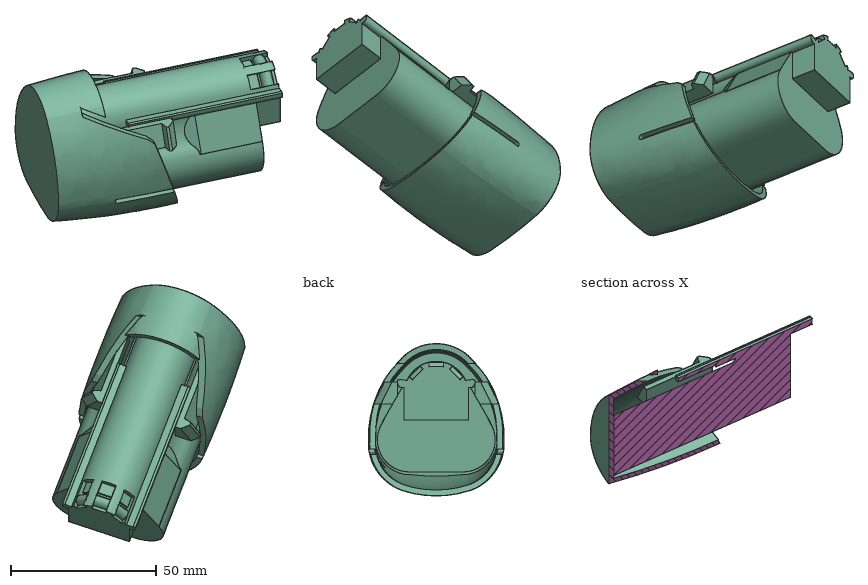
import cadquery as cq
import math


LENGTH = 84.7
CELLS_END = 75.65
WALL = 2.0

TUBE_R = 10.9
TUBE_Z = 35.4

CELL_R = 11.0
CELL_X = 9.2
CELL_Z = 19.3
NECK_ANGLE = 50.0
NECK_MID = (13.5, 31.35)
NECK_TOP_X = 11.35
DECK_Z = 37.3

SHOULDER_TOP = (11.8, DECK_Z)
SHOULDER_FOOT = (18.7, 25.2)
SHOULDER_START = 53.4
SHOULDER_RAMP = 7.3
SHOULDER_SINK = 2.5

NOSE_HALF = 11.1
NOSE_BOTTOM = 26.1

RAIL_X = 13.3
RAIL_SIDE_TOP = 39.9
RAIL_SIDE_BOTTOM = 38.8
RAIL_CREST_X = 12.45
RAIL_CREST_Z = 40.1
RAIL_ROOT_X = 9.3
RAIL_ROOT_Z = 39.65
RAIL_START = 28.9
RAIL_DEEP_START = 44.7
LIP_BOTTOM = 38.1

CONTACT_ANGLES = (-45.0, 0.0, 45.0)
WINDOW_WIDTH = 5.1
WINDOW_LENGTH = 10.2
WINDOW_FLOOR_R = 9.1
SLOT_START = 78.5
SLOT_END = 83.6
BAR_R = 2.1
BAR_Y = 81.5
BAR_AXIS_R = 8.4

LATCH_INNER_X = RAIL_X
LATCH_TOP = 39.2
LATCH_BOTTOM = 31.6
LATCH_FLARE = 3.8
LATCH_START = 16.9
ARM_X = 15.25
HEAD_X = 17.8
HEAD_BACK = 40.15
HEAD_STEP = 40.9
HEAD_CHAMFER = 41.9
HEAD_FRONT = 44.3

CAP_MID = 20.3
CAP_REAR = 48.3
CAP_TOP = 52.4
HIP_Z = 19.15
HOOD_EDGE_Z = 45.6
HOOD_CUT_END = 12.5
HOOD_CUT_TOP = 48.8
HOOD_CUT_BOTTOM = 46.6
MOUTH_SHOULDER = ((33.8, 36.8), (36.1, 34.8))
SLIT_END = 20.5
SLIT_STRAIGHT_END = 21.4
SLIT_END_Z = (15.1, 16.0, 16.9)
SLIT_REAR_Z = (14.1, 15.8)
MOUTH_REAR = 46.85
REACH = 33.9
CLEAR = 8.5


def slab(profile, y_start, y_end):
    """Solid between two Y stations; profile draws a closed outline in X, Z."""
    plane = cq.Workplane("XZ", origin=(0, y_end, 0))
    return profile(plane).extrude(y_end - y_start)


def box(x_start, x_end, y_start, y_end, z_start, z_end):
    return cq.Workplane("XY").box(
        x_end - x_start, y_end - y_start, z_end - z_start, centered=False
    ).translate((x_start, y_start, z_start))


def left(point):
    """Mirror an X, Z point to the -X side."""
    return (-point[0], point[1])


def both_sides(right_half):
    return right_half.union(right_half.mirror("YZ"))



def on_cell(angle):
    """Point on the +X cell's circle, angle in degrees above horizontal."""
    turn = math.radians(angle)
    return (CELL_X + CELL_R * math.cos(turn), CELL_Z + CELL_R * math.sin(turn))


def cells_profile(plane):
    """Two lower cells with the concave neck rising from them."""
    neck_foot = on_cell(NECK_ANGLE)
    outer = on_cell(0)
    bottom = on_cell(-90)
    neck_top = (NECK_TOP_X, DECK_Z)

    return (
        plane.moveTo(*left(bottom))
        .lineTo(*bottom)
        .threePointArc(outer, neck_foot)
        .threePointArc(NECK_MID, neck_top)
        .lineTo(*left(neck_top))
        .threePointArc(left(NECK_MID), left(neck_foot))
        .threePointArc(left(outer), left(bottom))
        .close()
    )


def make_shoulder():
    """Slanted filler beside the neck, with a sloped end."""
    run = SHOULDER_FOOT[0] - SHOULDER_TOP[0]
    drop = SHOULDER_TOP[1] - SHOULDER_FOOT[1]
    slant = math.hypot(run, drop)
    sink_x = SHOULDER_SINK * drop / slant
    sink_z = SHOULDER_SINK * run / slant
    root = (CELL_X - SHOULDER_SINK, SHOULDER_FOOT[1] - SHOULDER_SINK)
    root_top = (root[0], DECK_Z)

    outline = [root, SHOULDER_FOOT, SHOULDER_TOP, root_top]
    sunk = [
        root,
        (SHOULDER_FOOT[0] - sink_x, SHOULDER_FOOT[1] - sink_z),
        (SHOULDER_TOP[0] - sink_x, SHOULDER_TOP[1] - sink_z),
        (root_top[0], DECK_Z - sink_z),
    ]
    straight = slab(lambda plane: plane.polyline(outline).close(), SHOULDER_START, CELLS_END)
    ramp = (
        cq.Workplane("XZ", origin=(0, SHOULDER_START, 0))
        .polyline(outline).close()
        .workplane(offset=SHOULDER_RAMP)
        .polyline(sunk).close()
        .loft(ruled=True)
    )
    return straight.union(ramp)


def rail_bar(bottom, y_start, y_end):
    """Bar whose top falls from a crest towards the tube, rounded on its outer underside."""
    under_r = RAIL_SIDE_BOTTOM - bottom

    def profile(plane):
        return (
            plane.moveTo(0, bottom)
            .lineTo(RAIL_X - under_r, bottom)
            .radiusArc((RAIL_X, RAIL_SIDE_BOTTOM), -under_r)
            .lineTo(RAIL_X, RAIL_SIDE_TOP)
            .lineTo(RAIL_CREST_X, RAIL_CREST_Z)
            .lineTo(RAIL_ROOT_X, RAIL_ROOT_Z)
            .lineTo(0, RAIL_ROOT_Z)
            .close()
        )

    return slab(profile, y_start, y_end)


def make_rail():
    """Side rail: a thin lip that grows down to the deck near the contacts."""
    lip = rail_bar(LIP_BOTTOM, RAIL_START, RAIL_DEEP_START)
    return lip.union(rail_bar(DECK_Z, RAIL_DEEP_START, LENGTH))


def make_latch():
    """Latch arm with a hooked head, flaring outwards towards its bottom."""
    def outline(flare):
        return [
            (LATCH_INNER_X, LATCH_START),
            (ARM_X + flare, LATCH_START),
            (ARM_X + flare, HEAD_BACK),
            (HEAD_X + flare, HEAD_STEP),
            (HEAD_X + flare, HEAD_CHAMFER),
            (ARM_X + flare, HEAD_FRONT),
            (LATCH_INNER_X, HEAD_FRONT),
        ]

    return (
        cq.Workplane("XY", origin=(0, 0, LATCH_BOTTOM))
        .polyline(outline(LATCH_FLARE)).close()
        .workplane(offset=LATCH_TOP - LATCH_BOTTOM)
        .polyline(outline(0)).close()
        .loft(ruled=True)
    )


def turned(shape, angle):
    """Turn a shape about the tube's axis."""
    return shape.rotate((0, 0, TUBE_Z), (0, 1, TUBE_Z), angle)


def add_contact(body, angle):
    """Open a window in the tube wall and leave a half-round contact bar in it."""
    half = WINDOW_WIDTH / 2
    outside = TUBE_Z + TUBE_R + CLEAR
    window = box(-half, half, LENGTH - WINDOW_LENGTH, LENGTH, TUBE_Z + WINDOW_FLOOR_R, outside)
    slot = box(-half, half, SLOT_START, SLOT_END, TUBE_Z + BAR_AXIS_R, outside)
    bar = (
        cq.Workplane("YZ", origin=(-half, BAR_Y, TUBE_Z + BAR_AXIS_R))
        .circle(BAR_R)
        .extrude(WINDOW_WIDTH)
    )
    return body.cut(turned(window.union(slot), angle)).union(turned(bar, angle))


def make_tube():
    """Round tube, flattened underneath where it stands out past the lower cells."""
    tube = slab(lambda plane: plane.center(0, TUBE_Z).circle(TUBE_R), WALL, LENGTH)
    return tube.cut(box(-TUBE_R, TUBE_R, CELLS_END, LENGTH, 0, NOSE_BOTTOM))


def make_pack():
    pack = slab(cells_profile, WALL, CELLS_END)
    pack = pack.union(box(-NOSE_HALF, NOSE_HALF, CELLS_END, LENGTH, NOSE_BOTTOM, DECK_Z))
    pack = pack.union(both_sides(make_shoulder()))
    pack = pack.union(both_sides(make_rail()))
    pack = pack.union(make_tube())
    for angle in CONTACT_ANGLES:
        pack = add_contact(pack, angle)
    return pack.union(both_sides(make_latch()))



def cap_section(y, top, crown, flank, hip, corner, foot, bottom, inset):
    """Rounded-triangle wire at one Y station; points are given for the +X half."""
    outline = (
        cq.Workplane("XZ", origin=(0, y, 0))
        .moveTo(*left(crown))
        .threePointArc((0, top), crown)
        .threePointArc(flank, hip)
        .threePointArc(corner, foot)
        .threePointArc((0, bottom), left(foot))
        .threePointArc(left(corner), left(hip))
        .threePointArc(left(flank), left(crown))
        .close()
    )
    if inset:
        outline = outline.offset2D(-inset)
    return outline.val()


def cap_form(inset):
    """Smooth skin through the three sections, drawn inwards by inset."""
    face = cap_section(0, 51.1, (10.3, 47.3), (19.0, 36.1), (22.9, HIP_Z),
                       (19.3, 10.25), (11.3, 5.85), 5.25, inset)
    middle = cap_section(CAP_MID, CAP_TOP, (11.0, 48.3), (19.8, 36.1), (23.4, HIP_Z),
                         (19.9, 8.4), (11.6, 3.05), 1.9, inset)
    rear = cap_section(CAP_REAR, CAP_TOP, (11.0, 48.3), (19.3, 36.1), (22.4, HIP_Z),
                       (19.4, 7.9), (11.8, 1.95), 0, inset)
    return cq.Workplane(cq.Solid.makeLoft([face, middle, rear]))


def across(outline):
    """Cutter running through the whole part along X; outline is in Y, Z."""
    return cq.Workplane("YZ", origin=(-REACH, 0, 0)).polyline(outline).close().extrude(2 * REACH)


def make_mouth():
    """Everything behind the hood, the sloped upper edges and the sloped mouth."""
    above = CAP_TOP + CLEAR
    behind = CAP_REAR + CLEAR
    return across([
        (CAP_MID, above),
        (CAP_MID, HOOD_EDGE_Z),
        (HOOD_CUT_END, HOOD_CUT_TOP),
        (HOOD_CUT_END, HOOD_CUT_BOTTOM),
        *MOUTH_SHOULDER,
        (MOUTH_REAR, 0),
        (MOUTH_REAR, -CLEAR),
        (behind, -CLEAR),
        (behind, above),
    ])


def make_slit():
    """Narrow side slit that opens into the mouth."""
    end_bottom, end_middle, end_top = SLIT_END_Z
    rear_bottom, rear_top = SLIT_REAR_Z
    return (
        cq.Workplane("YZ", origin=(-REACH, 0, 0))
        .moveTo(CAP_REAR, rear_top)
        .lineTo(SLIT_STRAIGHT_END, end_top)
        .threePointArc((SLIT_END, end_middle), (SLIT_STRAIGHT_END, end_bottom))
        .lineTo(CAP_REAR, rear_bottom)
        .close()
        .extrude(2 * REACH)
    )


def make_cap():
    cavity = cap_form(WALL).intersect(box(-REACH, REACH, WALL, CAP_REAR, -CLEAR, CAP_TOP + CLEAR))
    return cap_form(0).cut(cavity).cut(make_mouth()).cut(make_slit())


pack = make_pack()
cap = make_cap()
result = cq.Compound.makeCompound([pack.val(), cap.val()])